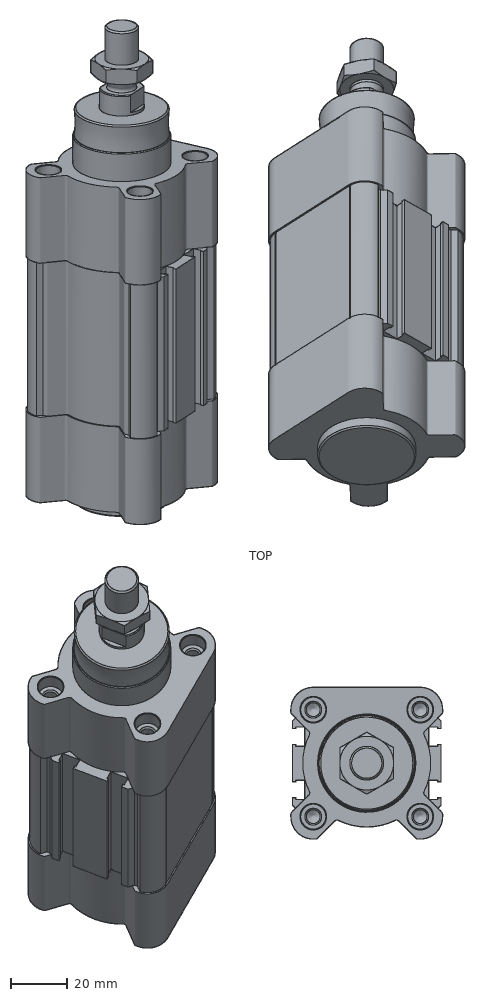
import cadquery as cq
import math

total_height = 181.9
collar_height = 4.0
cover_length = 33.0
barrel_length = 59.3
front_collar_height = 11.0
cap_height = 10.4
rod_shoulder = 158.3
nut_bottom = 163.2
nut_height = 6.0

rear_cover_bottom = collar_height
barrel_bottom = rear_cover_bottom + cover_length
front_cover_bottom = barrel_bottom + barrel_length
front_cover_top = front_cover_bottom + cover_length
cap_bottom = front_cover_top + front_collar_height
cap_top = cap_bottom + cap_height

cover_width = 54.0
lug_radius = 8.0
lug_half_width = 6.5
lug_edge_fillet = 1.0
core_diameter = 45.5
lug_center = cover_width / 2 - lug_radius

barrel_width = 53.0
barrel_core_diameter = 44.4
barrel_lug_half_width = 6.2
barrel_tip_half_width = 5.0
ledge_edge_fillet = 0.5
ledge_half_width = 24.7
rail_half_width = 15.0
slot_offset = 9.5
slot_mouth_width = 5.6
slot_mouth_depth = 1.3
slot_inner_width = 6.7
slot_depth = 4.4

collar_diameter = 35.0
collar_chamfer = 0.5
collar_top_chamfer = 0.4
cap_diameter = 33.8
cap_waist_diameter = 33.3
cap_chamfer = 0.5

hole_diameter = 9.0
hole_rim_diameter = 9.5
hole_depth = 6.0
thread_diameter = 6.0
thread_core_diameter = 5.0
thread_depth = 14.5
drill_tip_angle = 118.0

rod_diameter = 16.0
rod_flats = 13.0
rod_shoulder_chamfer = 0.4
rod_collar_height = 1.1
rod_flat_bottom = cap_top + rod_collar_height
rod_bottom = front_cover_bottom
neck_diameter = 10.7
neck_height = 1.8
groove_diameter = 10.2
neck_cone_height = 2.0
rod_thread_diameter = 12.0
rod_tip_diameter = 10.7
thread_chamfer = (rod_thread_diameter - rod_tip_diameter) / 2

nut_sides = 6
nut_flats = 19.1
nut_face_diameter = 19.1
nut_chamfer_angle = 20.0


def box(bottom, length, x_size, y_size, x=0.0, y=0.0):
    """Upright box centred on (x, y)."""
    return cq.Workplane("XY", origin=(x, y, bottom)).rect(x_size, y_size).extrude(length)


def disc(bottom, length, diameter):
    """Upright cylinder on the axis."""
    return cq.Workplane("XY", origin=(0, 0, bottom)).circle(diameter / 2).extrude(length)


def rounded_square(bottom, length, width):
    """Square whose corners are concentric with the lugs."""
    return box(bottom, length, width, width).edges("|Z").fillet(width / 2 - lug_center)


def diagonal_lugs(bottom, length, half_width):
    """Two crossed bars along the diagonals."""
    bar = box(bottom, length, 2 * cover_width, 2 * half_width)
    axis_start, axis_end = (0, 0, 0), (0, 0, 1)
    return bar.rotate(axis_start, axis_end, 45).union(bar.rotate(axis_start, axis_end, -45))


def back_web(bottom, length):
    """Solid wedge that closes the +Y side between the two rear lugs."""
    back = cover_width / 2
    outline = [
        (0, 0),
        (lug_center, lug_center),
        (lug_center, back),
        (-lug_center, back),
        (-lug_center, lug_center),
    ]
    return cq.Workplane("XY", origin=(0, 0, bottom)).polyline(outline).close().extrude(length)


def lug_root(diameter, half_width):
    """Larger and smaller coordinate of the point where a lug side meets the round core."""
    angle = math.radians(45) - math.asin(2 * half_width / diameter)
    return diameter / 2 * math.cos(angle), diameter / 2 * math.sin(angle)


def lug_tip(face, half_width):
    """Larger and smaller coordinate of the point where a lug side meets an outer face."""
    return face, face - half_width * math.sqrt(2)


def side_edges(corner):
    """The four mirrored positions of a lug edge on the X sides."""
    outward, across = corner
    return [(sx * outward, sy * across) for sx in (-1, 1) for sy in (-1, 1)]


def front_edges(corner):
    """The two mirrored positions of a lug edge on the -Y side."""
    outward, across = corner
    return [(sx * across, -outward) for sx in (-1, 1)]


def fillet_edges(body, positions, height, radius):
    """Round the upright edges that pass through the given positions."""
    for x, y in positions:
        body = body.edges(cq.selectors.NearestToPointSelector((x, y, height))).fillet(radius)
    return body


def cover(bottom):
    """End cover: round core, four lugs, closed back."""
    body = disc(bottom, cover_length, core_diameter)
    body = body.union(diagonal_lugs(bottom, cover_length, lug_half_width))
    body = body.union(back_web(bottom, cover_length))
    body = body.intersect(rounded_square(bottom, cover_length, cover_width))

    root = lug_root(core_diameter, lug_half_width)
    tip = lug_tip(cover_width / 2, lug_half_width)
    middle = bottom + cover_length / 2
    for corner in (root, tip):
        body = fillet_edges(body, side_edges(corner) + front_edges(corner), middle, lug_edge_fillet)
    return body


def side_rails():
    """Raised rails on the X sides, with 45 degree flanks."""
    face = barrel_width / 2
    rise = face - ledge_half_width
    foot = rail_half_width + rise
    outline = [
        (-face, -rail_half_width),
        (-ledge_half_width, -foot),
        (ledge_half_width, -foot),
        (face, -rail_half_width),
        (face, rail_half_width),
        (ledge_half_width, foot),
        (-ledge_half_width, foot),
        (-face, rail_half_width),
    ]
    return cq.Workplane("XY", origin=(0, 0, barrel_bottom)).polyline(outline).close().extrude(barrel_length)


def sensor_slot(side, y):
    """T-shaped slot that opens on one X side."""
    face = side * barrel_width / 2
    mouth = box(barrel_bottom, barrel_length, 2 * slot_mouth_depth, slot_mouth_width, face, y)
    inner_length = slot_depth - slot_mouth_depth
    inner_x = face - side * (slot_mouth_depth + inner_length / 2)
    return mouth.union(box(barrel_bottom, barrel_length, inner_length, slot_inner_width, inner_x, y))


def barrel():
    """Profiled tube between the covers."""
    ledges = 2 * ledge_half_width
    wide_lugs = diagonal_lugs(barrel_bottom, barrel_length, barrel_lug_half_width)
    wide_lugs = wide_lugs.intersect(box(barrel_bottom, barrel_length, ledges, ledges))
    body = disc(barrel_bottom, barrel_length, barrel_core_diameter).union(wide_lugs)
    body = body.union(diagonal_lugs(barrel_bottom, barrel_length, barrel_tip_half_width))
    body = body.union(back_web(barrel_bottom, barrel_length)).union(side_rails())
    body = body.intersect(rounded_square(barrel_bottom, barrel_length, barrel_width))

    middle = barrel_bottom + barrel_length / 2
    root = lug_root(barrel_core_diameter, barrel_lug_half_width)
    ledge = lug_tip(ledge_half_width, barrel_lug_half_width)
    body = fillet_edges(body, front_edges(root), middle, lug_edge_fillet)
    body = fillet_edges(body, front_edges(ledge), middle, ledge_edge_fillet)
    for side in (-1, 1):
        for y in (-slot_offset, slot_offset):
            body = body.cut(sensor_slot(side, y))
    return body


def front_cap():
    """Front collar and the slightly waisted cap above it."""
    collar_radius = collar_diameter / 2
    cap_radius = cap_diameter / 2
    waist_height = (cap_bottom + cap_top) / 2
    return (
        cq.Workplane("XZ")
        .moveTo(0, front_cover_top)
        .lineTo(collar_radius, front_cover_top)
        .lineTo(collar_radius, cap_bottom - collar_top_chamfer)
        .lineTo(collar_radius - collar_top_chamfer, cap_bottom)
        .lineTo(cap_radius, cap_bottom)
        .threePointArc((cap_waist_diameter / 2, waist_height), (cap_radius, cap_top - cap_chamfer))
        .lineTo(cap_radius - cap_chamfer, cap_top)
        .lineTo(0, cap_top)
        .close()
        .revolve()
    )


def screw_hole():
    """Cutter for one stepped screw hole, with its mouth at the origin."""
    rim = hole_rim_diameter / 2
    bore = hole_diameter / 2
    thread = thread_diameter / 2
    core = thread_core_diameter / 2
    core_bottom = -hole_depth - thread_depth
    tip_length = core / math.tan(math.radians(drill_tip_angle / 2))
    outline = [
        (0, 0),
        (rim, 0),
        (bore, bore - rim),
        (bore, -hole_depth),
        (thread, -hole_depth),
        (core, core - thread - hole_depth),
        (core, core_bottom),
        (0, core_bottom - tip_length),
    ]
    return cq.Workplane("XZ").polyline(outline).close().revolve()


def make_housing():
    """Covers, barrel, collars and cap as one solid, with the rod bore."""
    rear_collar = disc(0, collar_height, collar_diameter).faces("<Z").chamfer(collar_chamfer)
    body = rear_collar.union(cover(rear_cover_bottom)).union(barrel())
    body = body.union(cover(front_cover_bottom)).union(front_cap())
    for x in (-lug_center, lug_center):
        for y in (-lug_center, lug_center):
            body = body.cut(screw_hole().translate((x, y, front_cover_top)))
    return body.cut(disc(rod_bottom, cap_top - rod_bottom, rod_diameter))


def threaded_end():
    """Neck, cone and chamfered thread above the rod shoulder."""
    neck_radius = neck_diameter / 2
    thread_radius = rod_thread_diameter / 2
    neck_top = rod_shoulder + neck_height
    return (
        cq.Workplane("XZ")
        .moveTo(0, rod_shoulder)
        .lineTo(neck_radius, rod_shoulder)
        .threePointArc((groove_diameter / 2, rod_shoulder + neck_height / 2), (neck_radius, neck_top))
        .lineTo(thread_radius, neck_top + neck_cone_height)
        .lineTo(thread_radius, total_height - thread_chamfer)
        .lineTo(rod_tip_diameter / 2, total_height)
        .lineTo(0, total_height)
        .close()
        .revolve()
    )


def make_rod():
    """Piston rod with wrench flats, neck and threaded end."""
    rod = disc(rod_bottom, rod_shoulder - rod_bottom, rod_diameter)
    rod = rod.faces(">Z").chamfer(rod_shoulder_chamfer)
    flat_height = rod_shoulder - rod_flat_bottom
    across_flats = box(rod_flat_bottom, flat_height, rod_flats, rod_diameter)
    rod = rod.cut(disc(rod_flat_bottom, flat_height, rod_diameter).cut(across_flats))
    return rod.union(threaded_end())


def make_nut():
    """Hexagon nut with corners on the Y axis and chamfered corners."""
    half_side_angle = 180 / nut_sides
    corner_diameter = nut_flats / math.cos(math.radians(half_side_angle))
    corner_drop = (corner_diameter - nut_face_diameter) / 2 * math.tan(math.radians(nut_chamfer_angle))
    base = cq.Workplane("XY", origin=(0, 0, nut_bottom))
    hexagon = base.polygon(nut_sides, corner_diameter).extrude(nut_height)
    hexagon = hexagon.rotate((0, 0, 0), (0, 0, 1), half_side_angle)
    face, corner = nut_face_diameter / 2, corner_diameter / 2
    nut_top = nut_bottom + nut_height
    envelope = (
        cq.Workplane("XZ")
        .polyline([
            (0, nut_bottom), (face, nut_bottom), (corner, nut_bottom + corner_drop),
            (corner, nut_top - corner_drop), (face, nut_top), (0, nut_top),
        ])
        .close()
        .revolve()
    )
    return hexagon.intersect(envelope).cut(disc(nut_bottom, nut_height, rod_thread_diameter))


housing = make_housing()
rod = make_rod()
nut = make_nut()
result = cq.Compound.makeCompound([housing.solids().val(), rod.solids().val(), nut.solids().val()])